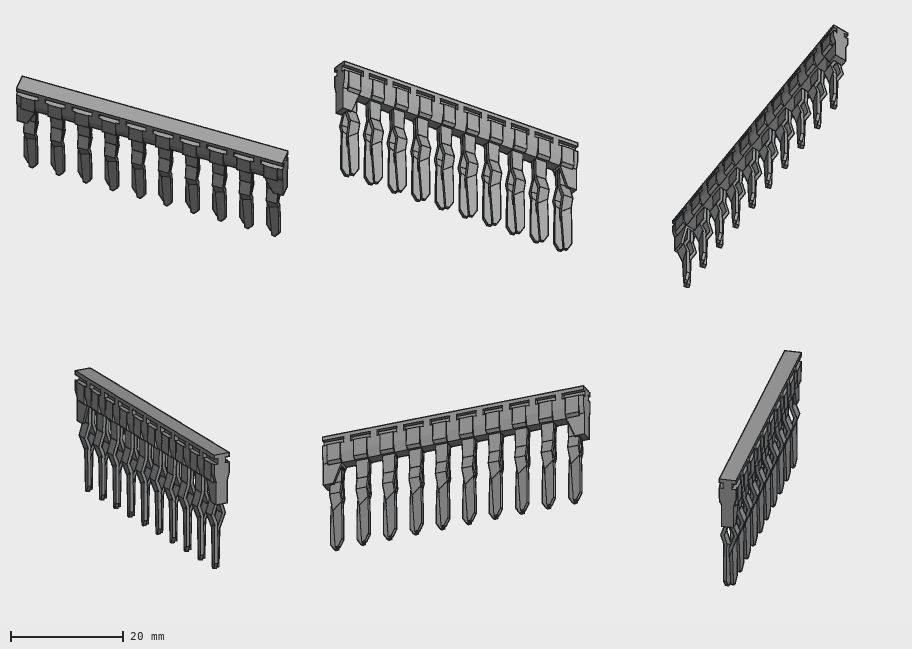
import cadquery as cq
import math

LENGTH = 50.4
HEIGHT = 22.2
OVERALL_DEPTH = 3.4
PIN_COUNT = 10
END_TO_PIN = 2.2
PITCH = (LENGTH - 2 * END_TO_PIN) / (PIN_COUNT - 1)
PIN_XS = [-LENGTH / 2 + END_TO_PIN + i * PITCH for i in range(PIN_COUNT)]

HEAD_DEPTH = 3.05
HEAD_BOTTOM_DEPTH = 2.0
HEAD_BOTTOM_Z = 16.55
TAPER_TOP_Z = 18.4

NOTCH_WIDTH = 3.8
NOTCH_TOP_Z = 21.4
NOTCH_FLOOR_Z = 20.35
NOTCH_DEPTH = 0.75

PAD_WIDTH = 2.55
PAD_BOTTOM_Z = 17.05
PAD_ROOT_DEPTH = 2.25

CHEEK_DEPTH = 2.25
CHEEK_TOP_Z = 16.9
CHEEK_BOTTOM_Z = 12.65
CHEEK_TOP_LENGTH = 3.6
CHEEK_BOTTOM_LENGTH = 1.9

LEAF_THICKNESS = 0.6
NECK_FACE = 0.65
BULGE_ROOT_FACE = 0.6
NECK_TOP_HALF_WIDTH = 1.2
NECK_HALF_WIDTH = 1.05
NECK_BOTTOM_Z = 12.95
BULGE_FACE = 1.5
BULGE_Z = 10.4
RETURN_SLOPE = 0.35
BLADE_FACE = 0.65
BLADE_TURN = 13.0
BLADE_EDGE = 1.35
BLADE_EDGE_TOP_Z = 5.05
TIP_SHOULDER_Z = 1.25
TIP_INNER_X = -0.125
TIP_OUTER_X = 0.55


def side_prism(points, width):
    """Extrude a (Y, Z) outline along X, centred on X = 0."""
    return cq.Workplane("YZ").polyline(points).close().extrude(width / 2, both=True)


def mirrored_outline(right_points):
    """Close a (Y, Z) outline from its +Y half."""
    return right_points + [(-y, z) for y, z in reversed(right_points)]


def make_head():
    outline = mirrored_outline([
        (HEAD_BOTTOM_DEPTH / 2, HEAD_BOTTOM_Z),
        (HEAD_DEPTH / 2, TAPER_TOP_Z),
        (HEAD_DEPTH / 2, HEIGHT),
    ])
    return side_prism(outline, LENGTH)


def make_notches(x_start, x_end):
    """A pair of notches, one on each long face."""
    notch = cq.Workplane("XY").box(
        x_end - x_start, NOTCH_DEPTH, NOTCH_TOP_Z - NOTCH_FLOOR_Z, centered=(False, False, False)
    ).translate((x_start, HEAD_DEPTH / 2 - NOTCH_DEPTH, NOTCH_FLOOR_Z))
    return notch.union(notch.mirror("XZ"))


def make_pad():
    outline = mirrored_outline([
        (PAD_ROOT_DEPTH / 2, HEAD_BOTTOM_Z),
        (OVERALL_DEPTH / 2, PAD_BOTTOM_Z),
        (OVERALL_DEPTH / 2, NOTCH_FLOOR_Z),
    ])
    return side_prism(outline, PAD_WIDTH)


def make_cheek():
    """Cheek at the -X end."""
    end = -LENGTH / 2
    outline = [
        (end, CHEEK_BOTTOM_Z),
        (end + CHEEK_BOTTOM_LENGTH, CHEEK_BOTTOM_Z),
        (end + CHEEK_TOP_LENGTH, HEAD_BOTTOM_Z),
        (end + CHEEK_TOP_LENGTH, CHEEK_TOP_Z),
        (end, CHEEK_TOP_Z),
    ]
    return cq.Workplane("XZ").polyline(outline).close().extrude(CHEEK_DEPTH / 2, both=True)


def bulge_prism(inset):
    """Everything behind the neck and bulge face, with that face moved inwards by inset."""
    out_angle = math.atan2(BULGE_FACE - BULGE_ROOT_FACE, NECK_BOTTOM_Z - BULGE_Z)
    return_angle = math.atan(RETURN_SLOPE)
    root_y = -BULGE_ROOT_FACE + inset / math.cos(out_angle)
    mean_angle = (out_angle + return_angle) / 2
    split = (out_angle - return_angle) / 2
    bulge_inset = inset / math.cos(mean_angle)
    bulge_y = -BULGE_FACE + bulge_inset * math.cos(split)
    bulge_z = BULGE_Z - bulge_inset * math.sin(split)
    back_y = OVERALL_DEPTH / 2
    return side_prism([
        (-NECK_FACE + inset, CHEEK_TOP_Z),
        (-NECK_FACE + inset, NECK_BOTTOM_Z),
        (root_y, NECK_BOTTOM_Z),
        (bulge_y, bulge_z),
        (back_y, bulge_z - (back_y - bulge_y) / RETURN_SLOPE),
        (back_y, CHEEK_TOP_Z),
    ], PITCH)


def blade_turned(solid):
    """Turn a solid built behind the XZ plane into the position of the front blade."""
    return solid.rotate((0, 0, 0), (0, 0, 1), -BLADE_TURN).translate((0, -BLADE_FACE, 0))


def leaf_outline():
    return cq.Workplane("XZ").polyline([
        (-NECK_TOP_HALF_WIDTH, CHEEK_TOP_Z),
        (-NECK_HALF_WIDTH, NECK_BOTTOM_Z),
        (TIP_INNER_X, 0),
        (TIP_OUTER_X, 0),
        (BLADE_EDGE, TIP_SHOULDER_Z),
        (BLADE_EDGE, BLADE_EDGE_TOP_Z),
        (NECK_HALF_WIDTH, NECK_BOTTOM_Z),
        (NECK_TOP_HALF_WIDTH, CHEEK_TOP_Z),
    ]).close()


def make_leaf():
    """Front leaf of a pin centred on X = 0."""
    behind_bulge = bulge_prism(LEAF_THICKNESS)
    below_bulge = cq.Workplane("XY").box(PITCH, PITCH, BULGE_Z, centered=(True, False, False))

    blade = leaf_outline().extrude(-LEAF_THICKNESS).intersect(below_bulge)
    blade = blade_turned(blade).cut(behind_bulge)
    behind_blade = blade_turned(below_bulge.translate((0, LEAF_THICKNESS, 0)))
    spring = bulge_prism(0).cut(behind_bulge).cut(behind_blade)
    spring = spring.intersect(leaf_outline().extrude(OVERALL_DEPTH / 2, both=True))
    return spring.union(blade)


def make_pin():
    leaf = make_leaf()
    return leaf.union(leaf.rotate((0, 0, 0), (0, 0, 1), 180))


head = make_head()
for x in PIN_XS:
    start = -LENGTH / 2 if x == PIN_XS[0] else x - NOTCH_WIDTH / 2
    end = LENGTH / 2 if x == PIN_XS[-1] else x + NOTCH_WIDTH / 2
    head = head.cut(make_notches(start, end))

cheek = make_cheek()
result = head.union(cheek).union(cheek.mirror("YZ"))

pad = make_pad()
pin = make_pin()
for x in PIN_XS:
    result = result.union(pad.translate((x, 0, 0)))
    result = result.union(pin.translate((x, 0, 0)))